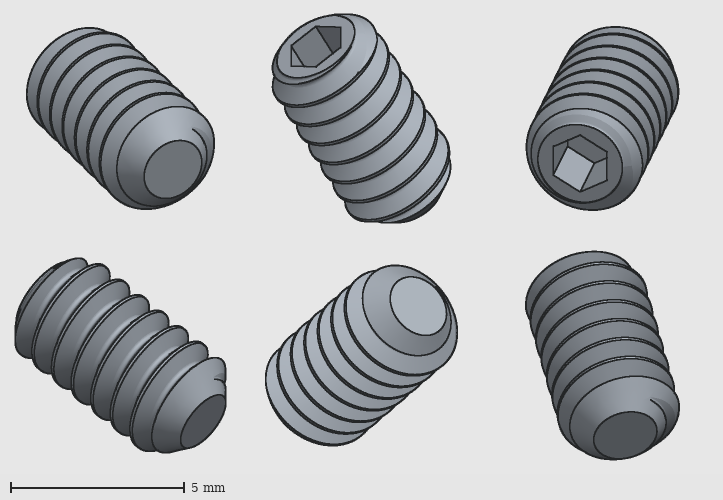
import cadquery as cq
import math

length = 6.35
major_diameter = 3.505
major_radius = major_diameter / 2
threads_per_inch = 32
inch = 25.4
pitch = inch / threads_per_inch
socket_end_chamfer = 0.462
point_end_chamfer = 0.82
hex_across_flats = 1.5875
hex_depth = 1.9

flank_angle = math.radians(30)
crest_flat = pitch / 8
root_fillet = pitch / 8
apex_radius = major_radius - (pitch - crest_flat) / 2 / math.tan(flank_angle)
root_radius = apex_radius + root_fillet
tangent_radius = root_radius + root_fillet * (1 - math.sin(flank_angle))
tangent_half_width = root_fillet * math.cos(flank_angle)

cutter_overshoot = 0.05
run_out_turns = 2
cutter_radius = major_radius + cutter_overshoot
cutter_half_width = (cutter_radius - apex_radius) * math.tan(flank_angle)


def make_blank():
    """Plain cylinder with a 45 degree cone at each end."""
    return (
        cq.Workplane("XZ")
        .lineTo(0, major_radius - socket_end_chamfer)
        .lineTo(socket_end_chamfer, major_radius)
        .lineTo(length - point_end_chamfer, major_radius)
        .lineTo(length, major_radius - point_end_chamfer)
        .lineTo(length, 0)
        .close()
        .revolve(360, (0, 0, 0), (1, 0, 0))
    )


def groove_profile():
    """Rounded V of the thread groove, lying in XZ with Z as the thread axis."""
    return (
        cq.Workplane("XZ")
        .moveTo(cutter_radius, -cutter_half_width)
        .lineTo(tangent_radius, -tangent_half_width)
        .threePointArc((root_radius, 0), (tangent_radius, tangent_half_width))
        .lineTo(cutter_radius, cutter_half_width)
        .close()
    )


def turn_onto_screw_axis(groove):
    """Carry Z to X, and the groove's starting side to -Y."""
    return groove.rotate((0, 0, 0), (1, 1, 1), 120).rotate((0, 0, 0), (1, 0, 0), 180)


def make_thread_groove():
    """Right-handed helical groove that starts at x = 0 on the -Y side and runs out past the point."""
    turns = math.ceil(length / pitch) + run_out_turns
    path = cq.Wire.makeHelix(pitch, turns * pitch, root_radius)
    groove = groove_profile().sweep(cq.Workplane(obj=path), isFrenet=True)
    return turn_onto_screw_axis(groove)


def make_end_groove():
    """Ring of the same profile centred on x = 0, so the socket face meets the root of the thread."""
    ring = groove_profile().revolve(360, (0, 0, 0), (0, 1, 0))
    return turn_onto_screw_axis(ring)


def make_hex_socket():
    """Hexagonal prism with two flats facing +Y and -Y."""
    across_corners = hex_across_flats / math.cos(math.pi / 6)
    return (
        cq.Workplane("YZ")
        .polygon(6, across_corners)
        .extrude(hex_depth)
        .rotate((0, 0, 0), (1, 0, 0), 90)
    )


result = (
    make_blank()
    .cut(make_end_groove())
    .cut(make_thread_groove())
    .cut(make_hex_socket())
)